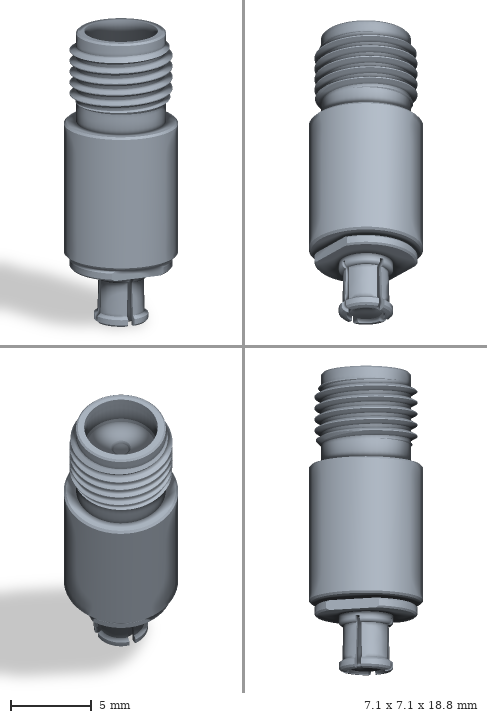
import cadquery as cq
import math

total_height = 18.8
collar_bottom_z = 2.88
slot_top_z = 3.27
flange_bottom_z = 3.5
flange_top_z = 4.12
barrel_bottom_z = 4.35
barrel_top_z = 12.95

barrel_diameter = 7.1
barrel_chamfer = 0.13
sleeve_diameter = 5.58
sleeve_chamfer = 0.11
flange_diameter = 6.4
flange_flat_width = 5.38
flange_chamfer = 0.11
collar_diameter = 3.38
collar_fillet = 0.23
neck_diameter = 2.82

socket_diameter = 4.57
socket_floor_diameter = 4.32
socket_depth = 1.94
socket_cone_height = 0.15
contact_outer_diameter = 1.2
contact_inner_diameter = 0.94
contact_depth = 0.13

thread_diameter = 6.4
thread_pitch = 0.705
thread_bottom_z = 14.23
thread_top_z = 18.03
thread_crest_z = 17.09
tooth_base = 0.55
tooth_crest = 0.05
thread_root_overlap = 0.04
lead_in_clearance = 0.19

finger_root_diameter = 2.82
finger_end_diameter = 2.93
finger_bore_diameter = 2.4
bead_diameter = collar_diameter
bead_top_z = 0.7
bead_shoulder_z = 0.53
bead_bottom_z = 0.19
tip_diameter = 3.12
tip_chamfer_z = 0.05
tip_face_diameter = 2.63
slot_top_width = 0.26
slot_bottom_width = 0.45
core_diameter = 2.03
core_bottom_z = 0.17
core_chamfer = 0.05


def cylinder(diameter, bottom, top):
    return cq.Workplane("XY").workplane(offset=bottom).circle(diameter / 2).extrude(top - bottom)


def cone(bottom_diameter, top_diameter, bottom, top):
    outline = [(0, bottom), (bottom_diameter / 2, bottom), (top_diameter / 2, top), (0, top)]
    return cq.Workplane("XZ").polyline(outline).close().revolve(360, (0, 0), (0, 1))


def make_barrel_and_sleeve():
    barrel = cylinder(barrel_diameter, barrel_bottom_z, barrel_top_z).edges().chamfer(barrel_chamfer)
    sleeve = cylinder(sleeve_diameter, barrel_top_z, total_height).faces(">Z").edges().chamfer(sleeve_chamfer)
    return barrel.union(sleeve)


def make_thread():
    """One helical ridge, trimmed by 45 degree lead-in cones at both ends."""
    root_radius = sleeve_diameter / 2 - thread_root_overlap
    crest_radius = thread_diameter / 2
    turns_below = math.ceil((thread_crest_z - thread_bottom_z) / thread_pitch)
    turns_above = math.ceil((thread_top_z - thread_crest_z) / thread_pitch)
    start_z = thread_crest_z - turns_below * thread_pitch
    helix_height = (turns_below + turns_above) * thread_pitch
    helix = cq.Wire.makeHelix(thread_pitch, helix_height, root_radius, cq.Vector(0, 0, start_z))
    tooth = [
        (root_radius, start_z - tooth_base / 2),
        (crest_radius, start_z - tooth_crest / 2),
        (crest_radius, start_z + tooth_crest / 2),
        (root_radius, start_z + tooth_base / 2),
    ]
    ridge = cq.Workplane("XZ").polyline(tooth).close().sweep(helix, isFrenet=True)
    lead_in = crest_radius + lead_in_clearance - sleeve_diameter / 2
    envelope_diameter = thread_diameter + 2 * lead_in_clearance
    envelope = cylinder(envelope_diameter, thread_bottom_z, thread_top_z).edges().chamfer(lead_in)
    return ridge.intersect(envelope)


def make_socket_cut():
    """Socket bore with a sloped floor edge and a shallow conical contact recess."""
    floor_z = total_height - socket_depth
    cone_top_z = floor_z + socket_cone_height
    bore = cylinder(socket_diameter, cone_top_z, total_height)
    floor_edge = cone(socket_floor_diameter, socket_diameter, floor_z, cone_top_z)
    contact = cone(contact_inner_diameter, contact_outer_diameter, floor_z - contact_depth, floor_z)
    return bore.union(floor_edge).union(contact)


def make_flange():
    flange = cylinder(flange_diameter, flange_bottom_z, flange_top_z).edges().chamfer(flange_chamfer)
    flats = cq.Workplane("XY").box(flange_flat_width, flange_diameter, 2 * total_height)
    return flange.intersect(flats)


def make_fingers():
    """Collar and beaded sleeve, bored out and split into four fingers."""
    finger_outline = [
        (0, 0),
        (tip_face_diameter / 2, 0),
        (tip_diameter / 2, tip_chamfer_z),
        (bead_diameter / 2, bead_bottom_z),
        (bead_diameter / 2, bead_shoulder_z),
        (finger_end_diameter / 2, bead_top_z),
        (finger_root_diameter / 2, collar_bottom_z),
        (0, collar_bottom_z),
    ]
    fingers = cq.Workplane("XZ").polyline(finger_outline).close().revolve(360, (0, 0), (0, 1))
    collar = cylinder(collar_diameter, collar_bottom_z, flange_bottom_z)
    collar = collar.faces("<Z").edges().fillet(collar_fillet)
    body = collar.union(fingers)
    body = body.cut(cylinder(finger_bore_diameter, 0, slot_top_z))
    slot_outline = [
        (-slot_bottom_width / 2, 0),
        (slot_bottom_width / 2, 0),
        (slot_top_width / 2, slot_top_z),
        (-slot_top_width / 2, slot_top_z),
    ]
    slot = cq.Workplane("XZ").polyline(slot_outline).close().extrude(collar_diameter / 2, both=True)
    for angle in (0, 90):
        body = body.cut(slot.rotate((0, 0, 0), (0, 0, 1), angle))
    return body


neck = cylinder(neck_diameter, flange_top_z, barrel_bottom_z)
core = cylinder(core_diameter, core_bottom_z, flange_bottom_z).faces("<Z").edges().chamfer(core_chamfer)

result = (
    make_barrel_and_sleeve()
    .union(make_thread())
    .cut(make_socket_cut())
    .union(neck)
    .union(make_flange())
    .union(make_fingers())
    .union(core)
)